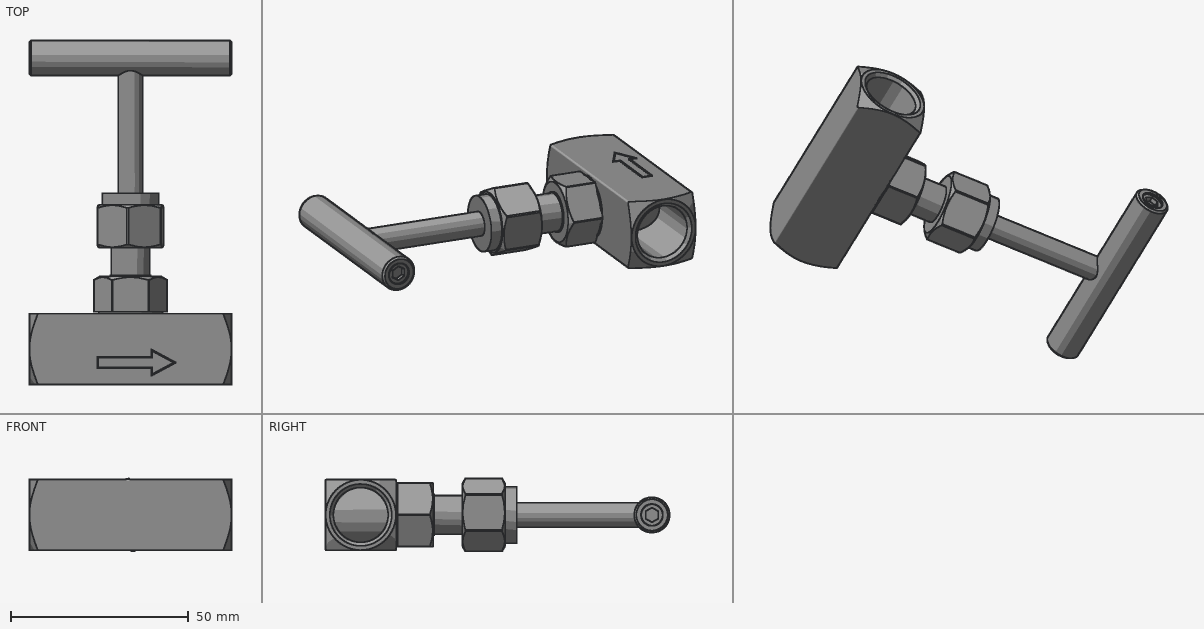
import cadquery as cq
import math

overall_length = 97.0
body_length = 57.0
body_width = 20.0
body_mid_y = body_width / 2
body_edge_radius = 0.5
body_end_diameter = 19.8
end_cone_angle = 30.0

port_diameter = 15.4
port_mouth_diameter = 17.5
port_mouth_depth = 1.0

bonnet_diameter = 18.0
lower_nut_start = 20.5
lower_nut_end = 30.5
neck_diameter = 11.0
neck_shoulder_diameter = 11.5
neck_shoulder_end = 30.75
upper_nut_start = 38.5
upper_nut_end = 50.7
collar_diameter = 16.0
collar_end = 53.9
stem_diameter = 7.0

nut_across_flats = 18.0
nut_chamfer_angle = 30.0
nut_face_diameter = 17.3
lower_nut_corner_diameter = 20.7
upper_nut_corner_diameter = 20.6
lower_nut_turn = 30.0
upper_nut_turn = -4.4

handle_length = body_length
handle_diameter = 10.0
handle_y = overall_length - handle_diameter / 2
handle_chamfer = 0.6
screw_hole_diameter = 6.2
screw_diameter = 6.0
hole_step_depth = 0.3
screw_recess = 0.6
socket_across_flats = 3.6
socket_depth = 1.5

arrow_tail_x = -9.3
arrow_neck_x = 5.8
arrow_tip_x = 12.8
arrow_y = 6.2
arrow_shaft_width = 3.2
arrow_head_width = 7.5
arrow_groove_width = 0.3
arrow_groove_depth = 0.3


def rod(diameter, start, end):
    """Cylinder on the stem axis between two Y stations."""
    plane = cq.Plane(origin=(0, start, 0), xDir=(1, 0, 0), normal=(0, 1, 0))
    return cq.Workplane(plane).circle(diameter / 2).extrude(end - start)


def tapered_blank(length, face_diameter, outer_diameter, angle, both_ends=True):
    """Round bar along X from the origin, coned at its far end or at both ends."""
    face_radius = face_diameter / 2
    outer_radius = outer_diameter / 2
    taper = (outer_radius - face_radius) * math.tan(math.radians(angle))
    points = [(0, 0)]
    if both_ends:
        points += [(0, face_radius), (taper, outer_radius)]
    else:
        points += [(0, outer_radius)]
    points += [(length - taper, outer_radius), (length, face_radius), (length, 0)]
    return cq.Workplane("XY").polyline(points).close().revolve(360, (0, 0, 0), (1, 0, 0))


def make_body():
    """Square bar with coned ends."""
    bar = cq.Workplane("XY").box(body_length, body_width, body_width)
    bar = bar.edges("|X").fillet(body_edge_radius)
    corner_diameter = body_width * math.sqrt(2)
    blank = tapered_blank(body_length, body_end_diameter, corner_diameter, end_cone_angle)
    bar = bar.intersect(blank.translate((-body_length / 2, 0, 0)))
    return bar.translate((0, body_mid_y, 0))


def make_port():
    """Tool for the bore along the whole body, flared at both mouths."""
    half = body_length / 2
    bore_radius = port_diameter / 2
    mouth_radius = port_mouth_diameter / 2
    flare_x = half - port_mouth_depth
    points = [
        (-half, 0),
        (-half, mouth_radius),
        (-flare_x, bore_radius),
        (flare_x, bore_radius),
        (half, mouth_radius),
        (half, 0),
    ]
    tool = cq.Workplane("XY").polyline(points).close().revolve(360, (0, 0, 0), (1, 0, 0))
    return tool.translate((0, body_mid_y, 0))


def make_nut(start, end, corner_diameter, turn, both_ends):
    """Hexagon nut on the stem axis; with no turn two flats face along X."""
    length = end - start
    hexagon = cq.Workplane("YZ").polygon(6, nut_across_flats, circumscribed=True).extrude(length)
    hexagon = hexagon.rotate((0, 0, 0), (1, 0, 0), turn)
    blank = tapered_blank(length, nut_face_diameter, corner_diameter, nut_chamfer_angle, both_ends)
    nut = hexagon.intersect(blank)
    return nut.rotate((0, 0, 0), (0, 0, 1), 90).translate((0, start, 0))


def make_handle():
    """Cross bar with a recessed socket set screw in each end."""
    half = handle_length / 2
    bar = cq.Workplane("YZ").circle(handle_diameter / 2).extrude(handle_length)
    bar = bar.translate((-half, 0, 0))
    bar = bar.faces("<X or >X").chamfer(handle_chamfer)
    for side in (-1, 1):
        end_plane = cq.Plane(origin=(side * half, 0, 0), xDir=(0, 1, 0), normal=(-side, 0, 0))
        recess = cq.Workplane(end_plane).circle(screw_hole_diameter / 2).extrude(hole_step_depth)
        recess = recess.union(cq.Workplane(end_plane).circle(screw_diameter / 2).extrude(screw_recess))
        socket = cq.Workplane(end_plane).polygon(6, socket_across_flats, circumscribed=True)
        socket = socket.extrude(screw_recess + socket_depth)
        bar = bar.cut(recess).cut(socket)
    return bar.translate((0, handle_y, 0))


def make_arrow():
    """Tool for the groove that follows the inside of the arrow outline."""
    half_shaft = arrow_shaft_width / 2
    half_head = arrow_head_width / 2
    outline = [
        (arrow_tail_x, half_shaft),
        (arrow_neck_x, half_shaft),
        (arrow_neck_x, half_head),
        (arrow_tip_x, 0),
        (arrow_neck_x, -half_head),
        (arrow_neck_x, -half_shaft),
        (arrow_tail_x, -half_shaft),
    ]
    arrow = cq.Workplane("XY").polyline(outline).close()
    island = cq.Workplane("XY").polyline(outline).close().offset2D(-arrow_groove_width, "intersection")
    tool = arrow.extrude(arrow_groove_depth).cut(island.extrude(arrow_groove_depth))
    return tool.translate((0, arrow_y, body_width / 2 - arrow_groove_depth))


body = make_body().cut(make_port()).cut(make_arrow())
bonnet_start = body_mid_y - bonnet_diameter / 2

result = (
    body.union(rod(bonnet_diameter, bonnet_start, lower_nut_start))
    .union(make_nut(lower_nut_start, lower_nut_end, lower_nut_corner_diameter, lower_nut_turn, False))
    .union(rod(neck_shoulder_diameter, lower_nut_end, neck_shoulder_end))
    .union(rod(neck_diameter, lower_nut_end, upper_nut_start))
    .union(make_nut(upper_nut_start, upper_nut_end, upper_nut_corner_diameter, upper_nut_turn, True))
    .union(rod(collar_diameter, upper_nut_end, collar_end))
    .union(rod(stem_diameter, collar_end, handle_y))
    .union(make_handle())
)